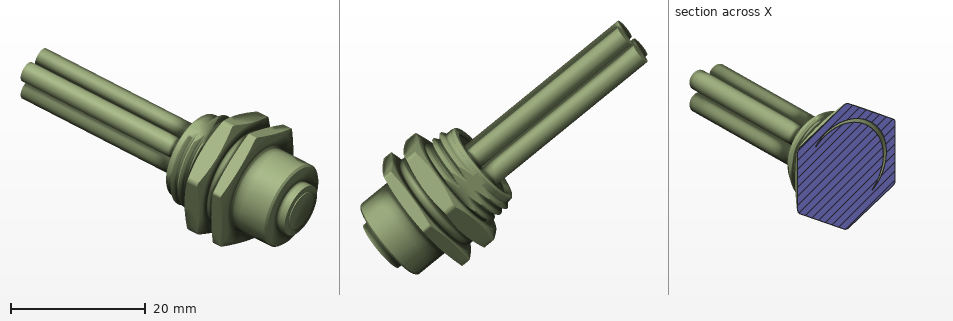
import cadquery as cq
import math


HOUSING_START = 29.0
THREAD_ZONE_START = 29.6
LOCK_NUT_START = 34.08
LOCK_NUT_WIDTH = 3.0
NUT_GAP = 2.0
FLANGE_START = LOCK_NUT_START + LOCK_NUT_WIDTH + NUT_GAP
FLANGE_WIDTH = 2.0
FLANGE_END = FLANGE_START + FLANGE_WIDTH
HOUSING_END = 47.5
NOSE_END = 48.98
OVERALL_LENGTH = 49.11

HOUSING_RADIUS = 6.75
END_CHAMFER = 0.2
FRONT_CHAMFER = 0.3
NECK_RADIUS = 7.0
NECK_LENGTH = 0.27
NOSE_RADIUS = 4.1
TIP_RADIUS = 3.0

THREAD_PITCH = 1.41
THREAD_ROOT_RADIUS = 6.82
THREAD_CREST_RADIUS = 7.5
THREAD_BASE_WIDTH = 1.3
THREAD_CREST_WIDTH = 0.15
THREAD_FIRST_CREST = 30.18
THREAD_START_ANGLE = 110
THREAD_TURNS = 4
NUT_THREAD_TURNS = 1
NUT_THREAD_START_ANGLE = 180
NUT_THREAD_ROOT_WIDTH = 0.35
LEAD_IN_START = 30.0
LEAD_IN_END = 30.6
FLAT_HALF_HEIGHT = HOUSING_RADIUS
FLAT_CUT_DEPTH = 1.0

SOCKET_MINOR_RADIUS = 5.42
SOCKET_MAJOR_RADIUS = 6.05
SOCKET_PITCH = 1.0
SOCKET_GROOVE_WIDTH = 0.85
SOCKET_ROOT_WIDTH = 0.12
SOCKET_MOUTH_RADIUS = 5.72
RECESS_DEPTH = 0.8
SOCKET_TURNS = 3
SOCKET_START_ANGLE = 180

ACROSS_FLATS = 18.0
LOCK_NUT_EDGE_RADIUS = 0.9
LOCK_NUT_FACE_RADIUS = 8.76
LOCK_NUT_CHAMFER = 0.65
FLANGE_EDGE_RADIUS = 0.5
FLANGE_FACE_RADIUS = 8.9
FLANGE_CHAMFER = 0.3
SEAL_OUTER_RADIUS = 8.05
SEAL_TUBE_RADIUS = 0.97

CABLE_RADIUS = 1.6
CABLE_SPACING = 3.6
CABLE_EMBED = 0.5

OVERLAP = 0.15
X_AXIS = cq.Vector(1, 0, 0)


def revolve_about_x(points):
    """Solid of revolution from (x, radius) points that start and end on the X axis."""
    return cq.Workplane("XY").polyline(points).close().revolve(360, (0, 0, 0), (1, 0, 0))


def cylinder_x(start, end, radius, y=0, z=0):
    """Cylinder parallel to X."""
    return cq.Workplane(cq.Solid.makeCylinder(radius, end - start, cq.Vector(start, y, z), X_AXIS))


def helical_ridge(first_x, start_angle, pitch, turns, base_radius, base_width, top_radius, top_width):
    """Right-handed trapezoid ridge about X; it starts at first_x, start_angle from +Y towards +Z."""
    helix = cq.Wire.makeHelix(pitch, pitch * turns, base_radius)
    profile = (
        cq.Workplane("XZ")
        .moveTo(base_radius, -base_width / 2)
        .lineTo(top_radius, -top_width / 2)
        .lineTo(top_radius, top_width / 2)
        .lineTo(base_radius, base_width / 2)
        .close()
    )
    ridge = profile.sweep(cq.Workplane(helix), isFrenet=True)
    ridge = ridge.rotate((0, 0, 0), (1, 1, 1), 120)
    ridge = ridge.rotate((0, 0, 0), (1, 0, 0), start_angle)
    return ridge.translate((first_x, 0, 0))


def make_housing():
    """Turned core, front barrel, nose and contact tip."""
    return revolve_about_x([
        (HOUSING_START, 0),
        (HOUSING_START, HOUSING_RADIUS - END_CHAMFER),
        (HOUSING_START + END_CHAMFER, HOUSING_RADIUS),
        (THREAD_ZONE_START, HOUSING_RADIUS),
        (THREAD_ZONE_START, THREAD_ROOT_RADIUS),
        (FLANGE_START, THREAD_ROOT_RADIUS),
        (FLANGE_START, NECK_RADIUS),
        (FLANGE_END, NECK_RADIUS),
        (FLANGE_END + NECK_LENGTH, HOUSING_RADIUS),
        (HOUSING_END - FRONT_CHAMFER, HOUSING_RADIUS),
        (HOUSING_END, HOUSING_RADIUS - FRONT_CHAMFER),
        (HOUSING_END, NOSE_RADIUS),
        (NOSE_END, NOSE_RADIUS),
        (NOSE_END, TIP_RADIUS),
        (OVERALL_LENGTH, TIP_RADIUS),
        (OVERALL_LENGTH, 0),
    ])


def make_external_thread():
    """Ridge with a conical lead-in at the rear end."""
    ridge = helical_ridge(
        THREAD_FIRST_CREST, THREAD_START_ANGLE, THREAD_PITCH, THREAD_TURNS,
        THREAD_ROOT_RADIUS - OVERLAP, THREAD_BASE_WIDTH + OVERLAP / 2,
        THREAD_CREST_RADIUS, THREAD_CREST_WIDTH,
    )
    envelope_radius = THREAD_CREST_RADIUS + OVERLAP
    thread_end = LOCK_NUT_START + LOCK_NUT_WIDTH / 2
    lead_slope = (THREAD_CREST_RADIUS - THREAD_ROOT_RADIUS) / (LEAD_IN_END - LEAD_IN_START)
    envelope = revolve_about_x([
        (LEAD_IN_START, 0),
        (LEAD_IN_START, THREAD_ROOT_RADIUS),
        (LEAD_IN_START + (envelope_radius - THREAD_ROOT_RADIUS) / lead_slope, envelope_radius),
        (thread_end, envelope_radius),
        (thread_end, 0),
    ])
    return ridge.intersect(envelope)


def cut_thread_flats(body):
    """Mill the thread level with the housing at its +Z and -Z sides."""
    length = LOCK_NUT_START - THREAD_ZONE_START
    width = 2 * THREAD_CREST_RADIUS
    for side in (1, -1):
        cutter = cq.Workplane("XY").box(length, width, FLAT_CUT_DEPTH).translate(
            (THREAD_ZONE_START + length / 2, 0, side * (FLAT_HALF_HEIGHT + FLAT_CUT_DEPTH / 2))
        )
        body = body.cut(cutter)
    return body


def cut_rear_socket(body):
    """Shallow threaded recess whose floor is the potting."""
    floor = HOUSING_START + RECESS_DEPTH
    mouth_chamfer = SOCKET_MOUTH_RADIUS - SOCKET_MINOR_RADIUS
    recess = revolve_about_x([
        (HOUSING_START, 0),
        (HOUSING_START, SOCKET_MOUTH_RADIUS),
        (HOUSING_START + mouth_chamfer, SOCKET_MINOR_RADIUS),
        (floor, SOCKET_MINOR_RADIUS),
        (floor, 0),
    ])
    groove = helical_ridge(
        HOUSING_START - SOCKET_PITCH, SOCKET_START_ANGLE, SOCKET_PITCH, SOCKET_TURNS,
        SOCKET_MINOR_RADIUS - OVERLAP, SOCKET_GROOVE_WIDTH,
        SOCKET_MAJOR_RADIUS, SOCKET_ROOT_WIDTH,
    )
    groove = groove.intersect(cylinder_x(HOUSING_START - OVERLAP, floor, HOUSING_RADIUS))
    return body.cut(recess).cut(groove)


def make_hexagon(start, width, edge_radius, face_radius, chamfer):
    """Hexagon with corners on +Z and -Z, rounded edges and conically chamfered faces."""
    corner_radius = ACROSS_FLATS / 2 / math.cos(math.pi / 6)
    hexagon = (
        cq.Workplane("YZ", origin=(start, 0, 0))
        .polygon(6, 2 * corner_radius)
        .extrude(width)
        .rotate((0, 0, 0), (1, 0, 0), 90)
        .edges("|X")
        .fillet(edge_radius)
    )
    end = start + width
    envelope = revolve_about_x([
        (start, 0),
        (start, face_radius),
        (start + chamfer, corner_radius),
        (end - chamfer, corner_radius),
        (end, face_radius),
        (end, 0),
    ])
    return hexagon.intersect(envelope)


def cut_lock_nut_thread(nut):
    """First turn of the nut thread, deepest on the rear face at the -Z side."""
    quarter_turn = THREAD_PITCH / 4
    groove = helical_ridge(
        LOCK_NUT_START - quarter_turn, NUT_THREAD_START_ANGLE, THREAD_PITCH, NUT_THREAD_TURNS,
        THREAD_ROOT_RADIUS - OVERLAP, THREAD_BASE_WIDTH,
        THREAD_CREST_RADIUS, NUT_THREAD_ROOT_WIDTH,
    )
    return nut.cut(groove)


def make_seal():
    """O-ring seated between the lock nut and the flange."""
    seal_x = FLANGE_START - NUT_GAP / 2
    ring_radius = SEAL_OUTER_RADIUS - SEAL_TUBE_RADIUS
    return cq.Workplane(cq.Solid.makeTorus(ring_radius, SEAL_TUBE_RADIUS, cq.Vector(seal_x, 0, 0), X_AXIS))


def add_cables(body):
    """Four cables in a square, rooted in the potting."""
    cable_end = HOUSING_START + RECESS_DEPTH + CABLE_EMBED
    offset = CABLE_SPACING / 2
    for y in (-offset, offset):
        for z in (-offset, offset):
            body = body.union(cylinder_x(0, cable_end, CABLE_RADIUS, y, z))
    return body


housing = make_housing().union(make_external_thread())
housing = cut_thread_flats(housing)
housing = cut_rear_socket(housing)

lock_nut = make_hexagon(
    LOCK_NUT_START, LOCK_NUT_WIDTH, LOCK_NUT_EDGE_RADIUS, LOCK_NUT_FACE_RADIUS, LOCK_NUT_CHAMFER
)
lock_nut = cut_lock_nut_thread(lock_nut)
flange = make_hexagon(
    FLANGE_START, FLANGE_WIDTH, FLANGE_EDGE_RADIUS, FLANGE_FACE_RADIUS, FLANGE_CHAMFER
)
result = add_cables(housing.union(lock_nut).union(flange).union(make_seal()))